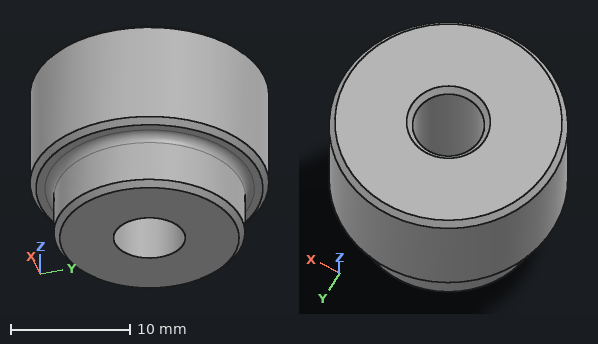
import cadquery as cq

head_diameter = 20.0
head_height = 10.0
shank_diameter = 16.0
shank_height = 5.0
bore_diameter = 6.0
edge_chamfer = 0.5
neck_fillet = 0.75

total_height = head_height + shank_height
head_radius = head_diameter / 2
shank_radius = shank_diameter / 2


def stepped_body():
    """Head over a narrower shank, with a concave fillet under the head."""
    profile = (
        cq.Workplane("XZ")
        .moveTo(0, 0)
        .lineTo(shank_radius - edge_chamfer, 0)
        .lineTo(shank_radius, edge_chamfer)
        .lineTo(shank_radius, shank_height - neck_fillet)
        .radiusArc((shank_radius + neck_fillet, shank_height), neck_fillet)
        .lineTo(head_radius - edge_chamfer, shank_height)
        .lineTo(head_radius, shank_height + edge_chamfer)
        .lineTo(head_radius, total_height - edge_chamfer)
        .lineTo(head_radius - edge_chamfer, total_height)
        .lineTo(0, total_height)
        .close()
    )
    return profile.revolve(360, (0, 0, 0), (0, 1, 0))


body = stepped_body().faces(">Z").workplane().hole(bore_diameter)
bore_rim = cq.selectors.RadiusNthSelector(0)
result = body.faces(">Z").edges(bore_rim).chamfer(edge_chamfer)